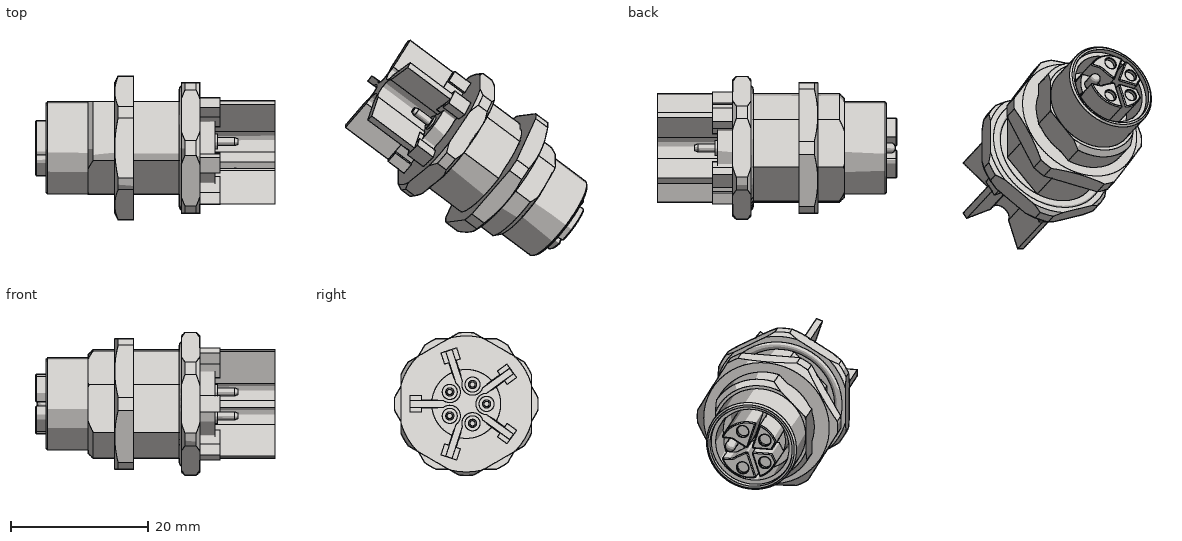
import cadquery as cq
import math

TOTAL_LENGTH = 34.95
POLES = 5
POLE_STEP = 360 / POLES
PIN_CIRCLE_RADIUS = 2.97
KEY_ANGLE = 180.0

SLEEVE_START = 1.5
SLEEVE_DIAMETER = 13.5
SLEEVE_CHAMFER = 0.28
MOUTH_DIAMETER = 12.3
MOUTH_DEPTH = 0.85
BORE_DIAMETER = 11.0
BORE_FLOOR = 8.4

BODY_START = 7.7
BODY_DIAMETER = 15.9
BODY_CHAMFER = 0.75
BODY_FLATS = 13.55
FLAT_ANGLES = (0.0, 135.0)

NUT_FLATS = 19.1
NUT_BORE = 14.33
FRONT_NUT_CORNERS = 21.0
FRONT_NUT_START = 11.5
FRONT_NUT_END = 14.33
FRONT_NUT_FACE_RADIUS = 9.4
FRONT_NUT_BEVEL = 0.55
REAR_NUT_CORNERS = 20.9
REAR_NUT_START = 21.3
REAR_NUT_END = 23.98
REAR_NUT_BEVEL = 0.52
SEAL_START = 20.97
SEAL_SECTION_RADIUS = 0.65
SEAL_MEAN_RADIUS = 8.5

INSERT_DIAMETER = 8.75
INSERT_EDGE = 0.157
SOCKET_DIAMETER = 1.75
SOCKET_EDGE = 0.07
SOCKET_DEPTH = 0.6
SLOT_WIDTH = 0.6
SLOT_DEPTH = 4.9
KEY_INNER_RADIUS = 3.43
KEY_OUTER_RADIUS = 4.1
KEY_HALF_WIDTH = 1.6
EARTH_POCKET_RADIUS = 1.57
EARTH_FACE = 2.8
EARTH_FACE_EDGE = 1.22
EARTH_PIN_DIAMETER = 1.5
EARTH_PIN_TIP = 0.2
HUB_CORNER_REACH = 0.87
HUB_CORNER_ROUNDING = 0.25
OUTER_CORNER_REACH = 3.15
OUTER_CORNER_ROUNDING = 0.17
HUB_INNER = (0.1, 0.17)
HUB_OUTER = (2.1, 1.25)

CARRIER_DIAMETER = 10.05
CARRIER_END = 26.2
FIN_TIP_RADIUS = 8.18
FIN_THICKNESS = 0.98
FIN_ROOT_RADIUS = 3.32
RIB_INNER_RADIUS = 4.2
RIB_THICKNESS = 1.12
RIB_FILLET = 0.2
LUG_INNER_RADIUS = 6.5
LUG_OUTER_RADIUS = 8.2
LUG_WIDTH = 2.4
LUG_END = 26.95

COLLAR_DIAMETER = 2.2
COLLAR_LENGTH = 0.3
PIN_DIAMETER = 1.2
PIN_END = 29.57
PIN_TIP_LENGTH = 0.52
PIN_TIP_CHAMFER = 0.2


def section_plane(x):
    """Plane across the axis: local x is Y, local y is Z, extrusion runs along +X."""
    return cq.Workplane("YZ", origin=(x, 0, 0))


def cylinder(x_start, x_end, diameter):
    return section_plane(x_start).circle(diameter / 2).extrude(x_end - x_start)


def polar(radius, angle):
    turn = math.radians(angle)
    return (radius * math.cos(turn), radius * math.sin(turn))


def turned(point, angle):
    """Turn a (radial, sideways) point so that its radial direction lies at the angle."""
    radial = polar(point[0], angle)
    sideways = polar(point[1], angle + 90)
    return (radial[0] + sideways[0], radial[1] + sideways[1])


def spoke(x_start, x_end, r_start, r_end, width, angle):
    """Rectangular bar running outwards from r_start to r_end at the angle."""
    bar = section_plane(x_start).center((r_start + r_end) / 2, 0).rect(r_end - r_start, width)
    return bar.extrude(x_end - x_start).rotate((0, 0, 0), (1, 0, 0), angle)


def ring(x_center, mean_radius, section_radius):
    """Ring of round section about the connector axis."""
    profile = cq.Workplane("XY").center(x_center, mean_radius).circle(section_radius)
    return profile.revolve(360, (-0.35, -mean_radius, 0), (0.35, -mean_radius, 0))


def hex_nut(x_start, x_end, envelope, corner_angle):
    """Hexagon prism trimmed by the turned envelope, given as (x, radius) points."""
    across_corners = NUT_FLATS / math.cos(math.radians(30))
    prism = section_plane(x_start).polygon(6, across_corners).extrude(x_end - x_start)
    prism = prism.rotate((0, 0, 0), (1, 0, 0), corner_angle)
    outline = [(x_start, 0)] + envelope + [(x_end, 0)]
    turned_blank = cq.Workplane("XY").polyline(outline).close().revolve(360, (0, 0, 0), (1, 0, 0))
    return prism.intersect(turned_blank)


def make_sleeve():
    sleeve = cylinder(SLEEVE_START, BODY_START, SLEEVE_DIAMETER)
    return sleeve.faces("<X").edges().chamfer(SLEEVE_CHAMFER)


def make_body():
    body = cylinder(BODY_START, REAR_NUT_END, BODY_DIAMETER).faces("<X").edges().chamfer(BODY_CHAMFER)
    for angle in FLAT_ANGLES:
        slab = section_plane(BODY_START).rect(BODY_FLATS, BODY_DIAMETER)
        slab = slab.extrude(REAR_NUT_END - BODY_START)
        body = body.intersect(slab.rotate((0, 0, 0), (1, 0, 0), angle))
    return body


def make_front_nut():
    radius = FRONT_NUT_CORNERS / 2
    envelope = [
        (FRONT_NUT_START, FRONT_NUT_FACE_RADIUS),
        (FRONT_NUT_START + FRONT_NUT_BEVEL, radius),
        (FRONT_NUT_END, radius),
    ]
    nut = hex_nut(FRONT_NUT_START, FRONT_NUT_END, envelope, 0)
    return nut.cut(cylinder(FRONT_NUT_START, FRONT_NUT_END, NUT_BORE))


def make_rear_nut():
    radius = REAR_NUT_CORNERS / 2
    envelope = [
        (REAR_NUT_START, radius - REAR_NUT_BEVEL),
        (REAR_NUT_START + REAR_NUT_BEVEL, radius),
        (REAR_NUT_END - REAR_NUT_BEVEL, radius),
        (REAR_NUT_END, radius - REAR_NUT_BEVEL),
    ]
    nut = hex_nut(REAR_NUT_START, REAR_NUT_END, envelope, 30)
    return nut.union(ring(SEAL_START + SEAL_SECTION_RADIUS, SEAL_MEAN_RADIUS, SEAL_SECTION_RADIUS))


def make_bore():
    """Annular space between the sleeve and the insert, with a wider mouth."""
    mouth = cylinder(SLEEVE_START, SLEEVE_START + MOUTH_DEPTH, MOUTH_DIAMETER)
    bore = cylinder(SLEEVE_START, BORE_FLOOR, BORE_DIAMETER).union(mouth)
    return bore


def make_bore_seal():
    """Ring at the bottom of the bore, with its inner edge rounded down to the insert."""
    rounding = (BORE_DIAMETER - INSERT_DIAMETER) / 2
    return ring(BORE_FLOOR, BORE_DIAMETER / 2, rounding)


def axis_distance(edge):
    center = edge.Center()
    return math.hypot(center.y, center.z)


def is_hub_corner(edge):
    return axis_distance(edge) < HUB_CORNER_REACH


def is_outer_corner(edge):
    return axis_distance(edge) > OUTER_CORNER_REACH


def is_socket_rim(edge):
    return edge.radius() < SOCKET_DIAMETER / 2 + SOCKET_EDGE and edge.IsClosed()


def make_insert():
    insert = cylinder(0, BORE_FLOOR, INSERT_DIAMETER)
    outside = INSERT_DIAMETER

    for turn in (-1, 0, 1):
        insert = insert.cut(spoke(0, SLOT_DEPTH, 0, outside, SLOT_WIDTH, KEY_ANGLE + turn * POLE_STEP))

    key_half = [
        (KEY_INNER_RADIUS, SLOT_WIDTH / 2),
        (KEY_OUTER_RADIUS, KEY_HALF_WIDTH),
        (outside, KEY_HALF_WIDTH),
    ]
    key_points = key_half + [(r, -side) for r, side in reversed(key_half)]
    key = section_plane(0).polyline([turned(p, KEY_ANGLE) for p in key_points]).close()
    insert = insert.cut(key.extrude(SLOT_DEPTH))

    hub_half = [HUB_INNER, HUB_OUTER]
    hub_points = [(0, HUB_INNER[1])] + hub_half
    hub_points = hub_points + [(y, -z) for y, z in reversed(hub_points)]
    pocket = section_plane(0).polyline(hub_points).close().extrude(SLOT_DEPTH)
    round_end = section_plane(0).center(PIN_CIRCLE_RADIUS, 0).circle(EARTH_POCKET_RADIUS)
    pocket = pocket.union(round_end.extrude(SLOT_DEPTH))
    pocket = pocket.union(spoke(0, SLOT_DEPTH, PIN_CIRCLE_RADIUS, outside, 2 * EARTH_POCKET_RADIUS, 0))
    insert = insert.cut(pocket)
    insert = insert.edges("|X").filter(is_hub_corner).fillet(HUB_CORNER_ROUNDING)
    insert = insert.edges("|X").filter(is_outer_corner).fillet(OUTER_CORNER_ROUNDING)
    insert = insert.faces("<X").edges().chamfer(INSERT_EDGE)

    for pole in range(1, POLES):
        socket = section_plane(0).center(*polar(PIN_CIRCLE_RADIUS, pole * POLE_STEP))
        socket = socket.circle(SOCKET_DIAMETER / 2).extrude(SOCKET_DEPTH)
        insert = insert.cut(socket)
    rims = insert.faces("<X").edges("%CIRCLE").filter(is_socket_rim)
    insert = rims.chamfer(SOCKET_EDGE)

    block = spoke(EARTH_FACE, SLOT_DEPTH, EARTH_FACE_EDGE, outside, 2 * KEY_HALF_WIDTH, 0)
    block = block.faces("<X").edges("<Y").chamfer(INSERT_EDGE)
    block = block.intersect(pocket).intersect(cylinder(0, BORE_FLOOR, INSERT_DIAMETER))
    pin = section_plane(EARTH_PIN_TIP).center(PIN_CIRCLE_RADIUS, 0).circle(EARTH_PIN_DIAMETER / 2)
    pin = pin.extrude(SLOT_DEPTH - EARTH_PIN_TIP)
    pin = pin.faces("<X").edges().fillet(0.49 * EARTH_PIN_DIAMETER)
    return insert.union(block).union(pin)


def make_fins():
    """Five radial shield fins with a round channel behind each contact."""
    half = FIN_THICKNESS / 2
    channel_floor = PIN_CIRCLE_RADIUS - math.hypot(
        *(a - b for a, b in zip((FIN_ROOT_RADIUS, half), polar(PIN_CIRCLE_RADIUS, POLE_STEP / 2)))
    )
    fins = section_plane(REAR_NUT_END).moveTo(*turned((FIN_ROOT_RADIUS, -half), KEY_ANGLE))
    for pole in range(POLES):
        angle = KEY_ANGLE + pole * POLE_STEP
        fins = fins.lineTo(*turned((FIN_TIP_RADIUS, -half), angle))
        fins = fins.lineTo(*turned((FIN_TIP_RADIUS, half), angle))
        fins = fins.lineTo(*turned((FIN_ROOT_RADIUS, half), angle))
        fins = fins.threePointArc(
            polar(channel_floor, angle + POLE_STEP / 2),
            turned((FIN_ROOT_RADIUS, -half), angle + POLE_STEP),
        )
    return fins.close().extrude(TOTAL_LENGTH - REAR_NUT_END)


def is_rib_root(edge):
    return math.isclose(axis_distance(edge), CARRIER_DIAMETER / 2, abs_tol=0.005)


def make_carrier():
    """Round contact carrier with a rib and an outer lug in line with each fin."""
    carrier = cylinder(REAR_NUT_END, CARRIER_END, CARRIER_DIAMETER)
    angles = [KEY_ANGLE + pole * POLE_STEP for pole in range(POLES)]
    for angle in angles:
        carrier = carrier.union(
            spoke(REAR_NUT_END, LUG_END, RIB_INNER_RADIUS, LUG_OUTER_RADIUS, RIB_THICKNESS, angle)
        )
    carrier = carrier.edges("|X").filter(is_rib_root).fillet(RIB_FILLET)
    for angle in angles:
        carrier = carrier.union(
            spoke(REAR_NUT_END, LUG_END, LUG_INNER_RADIUS, LUG_OUTER_RADIUS, LUG_WIDTH, angle)
        )
    return carrier


def make_rear_pin(angle):
    center = polar(PIN_CIRCLE_RADIUS, angle)
    collar = section_plane(CARRIER_END).center(*center).circle(COLLAR_DIAMETER / 2).extrude(COLLAR_LENGTH)
    pin = section_plane(CARRIER_END).center(*center).circle(PIN_DIAMETER / 2).extrude(PIN_END - CARRIER_END)
    pin = pin.faces(">X").edges().chamfer(PIN_TIP_LENGTH, PIN_TIP_CHAMFER)
    return collar.union(pin)


housing = make_sleeve().union(make_body()).cut(make_bore())
housing = housing.union(make_front_nut()).union(make_rear_nut())
front = make_insert().union(make_bore_seal())
rear = make_fins().union(make_carrier())
for pole in range(POLES):
    rear = rear.union(make_rear_pin(pole * POLE_STEP))

result = housing.union(front).union(rear)